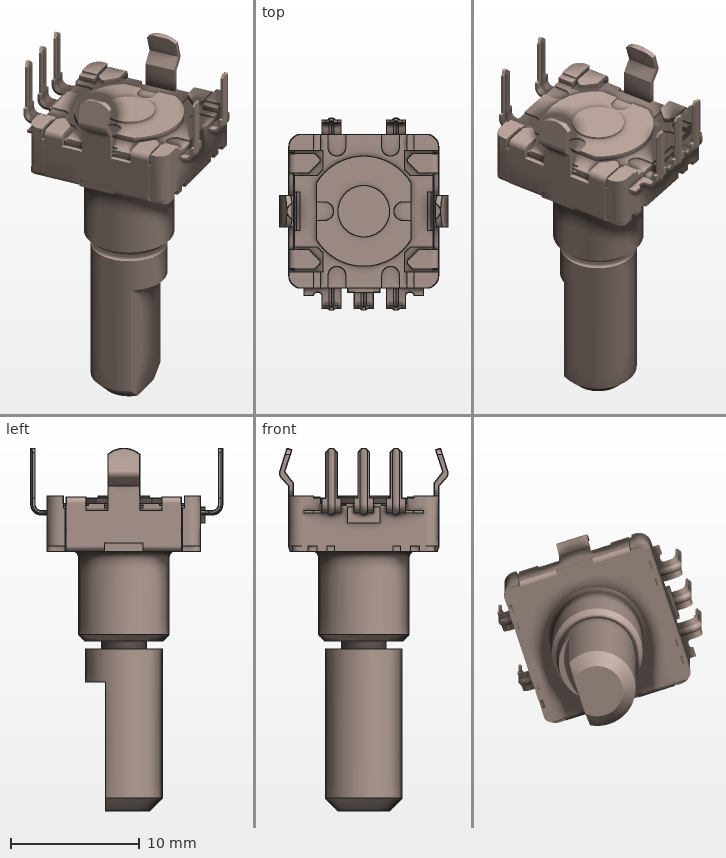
import cadquery as cq
import math


OVERALL_HEIGHT = 28.2
OVERALL_WIDTH = 13.1
PIN_TOP = 8.05
SHAFT_BOTTOM = PIN_TOP - OVERALL_HEIGHT
EXTRA = 1.4

HALF_X = 5.85
HALF_Y = 5.98
CORNER_RADIUS = 1.0
CORNER_TOP = 4.35
STEP_TOP = 4.17
PLATE_TOP = 3.75
CORNER_INNER_X = 3.35
CORNER_STEP_X = 3.9
CORNER_INNER_Y = 4.7
BASE_HEIGHT = 0.42
BASE_INSET = 0.3
BASE_CORNER_RADIUS = 0.54
NOTCH_PLACES = ((3.98, 0.7), (2.57, 0.62))
NOTCH_DEPTH = 0.37

DISC_RADIUS = 4.3
DISC_HALF_WIDTH = 3.7
DISC_TOP = STEP_TOP
BUTTON_RADIUS = 2.0
BUTTON_TOP = CORNER_TOP
SLOT_DEPTH = 0.17
RECESS_FLOOR = PLATE_TOP - SLOT_DEPTH
EDGE_SLOT_X = 2.1
EDGE_SLOT_WIDTH = 1.38
EDGE_SLOT_INNER_Y = 4.3
DISC_SLOT_WIDTH = 1.45
DISC_SLOT_INNER_X = 2.35

SHEET = 0.37
COVER_HALF_Y = 4.48
COVER_GAP = 0.08
GAP_FLOOR = 1.7
COVER_BOTTOM_RADIUS = BASE_HEIGHT
TAB_TOP = 4.25
TAB_INNER_Y = 2.95
TAB_BEND_RADIUS = 0.5
TAB_TIP_X = 3.4
TAB_LONG_BEVEL = 0.87
TAB_SHORT_BEVEL = 0.4
TAB_RECESS_X = 3.2
TAB_RECESS_Y = 2.75
TAB_RECESS_BEVEL = 0.45
WINDOW_FLOOR = 3.2
CLIP_HALF_WIDTH = 1.25
CLIP_POCKET_HALF = 1.5
CLIP_POCKET_INNER_X = 4.95
CLIP_GUTTER_INNER_X = 5.22
GUTTER_FLOOR = 3.4
RELIEF_HEIGHT = 0.68
RELIEF_DEPTH = 0.1

CLIP_REACH = OVERALL_WIDTH / 2
CLIP_BEND_OUTER_Z = 5.1
CLIP_BEND_INNER_Z = 5.33
CLIP_KINK_START = (6.4, 5.72)
CLIP_KINK_Z = 6.1
CLIP_KINK_END = (6.51, 6.3)
CLIP_KINK_INNER = (6.15, 6.2)
CLIP_TIP_OUTER = (5.98, PIN_TOP)
CLIP_TIP_INNER = (5.58, 7.92)
CLIP_SHOULDER_Z = 7.55

BUSHING_RADIUS = 3.52
BUSHING_FLARE_RADIUS = 3.78
BUSHING_FLARE_HEIGHT = 0.48
BUSHING_FLARE_ARC = 0.55
BUSHING_BOTTOM = -6.97
BUSHING_CHAMFER = 0.5
NECK_RADIUS = 1.75
SHAFT_TOP = -7.55
SHAFT_RADIUS = 3.0
SHAFT_CHAMFER = 1.0
FLAT_TOP = -10.15
FLAT_Y = 1.45

PITCH = 2.5
FRONT_REACH = 7.7
BACK_REACH = 7.25
TERMINAL_SHEET = 0.2
RIDGE_HEIGHT = 0.15
RIDGE_HALF_WIDTH = 0.28
GROOVE_HALF_WIDTH = 0.2
FOOT_WIDTH = 1.5
FOOT_TOP = 3.2
SHOULDER_TOP = 4.17
PIN_WIDTH = 0.9
PIN_TIP_CHAMFER = 0.3
TERMINAL_BEND_RADIUS = 0.7
FOOT_ROOT_Y = 5.65
FRAME_OUTER_X = 4.65
FRAME_EAR_X = 3.92
FRAME_EAR_REACH = 6.57
FRAME_NECK_REACH = 6.32
FRAME_GAP_RADIUS = 0.25
BLOCK_WIDTH = 2.5
BLOCK_REACH = 6.32
BLOCK_BOTTOM = 2.23
BLOCK_TOP = 3.47


def box(x0, x1, y0, y1, z0, z1):
    """Box between two opposite corners."""
    return cq.Workplane("XY").box(x1 - x0, y1 - y0, z1 - z0, centered=False).translate((x0, y0, z0))


def prism(points, z0, z1):
    """Upright prism on a closed polygon."""
    return cq.Workplane("XY").workplane(offset=z0).polyline(points).close().extrude(z1 - z0)


def both_sides(body, plane):
    """The body together with its mirror image."""
    return body.union(body.mirror(plane))


def four_corners(body):
    """The body repeated in all four quarters."""
    return both_sides(both_sides(body, "YZ"), "XZ")


def u_slot(end_x, mouth_x, width, surface):
    """Slot sunk below a surface height, along X with a round end at end_x and an open mouth at mouth_x."""
    radius = width / 2
    floor = surface - SLOT_DEPTH
    slot = box(end_x + radius, mouth_x, -radius, radius, floor, surface)
    end = cq.Workplane("XY").workplane(offset=floor).circle(radius).extrude(SLOT_DEPTH)
    return slot.union(end.translate((end_x + radius, 0, 0)))


def housing():
    body = box(-HALF_X, HALF_X, -HALF_Y, HALF_Y, BASE_HEIGHT, CORNER_TOP)
    body = body.edges("|Z").fillet(CORNER_RADIUS)
    base = box(-HALF_X + BASE_INSET, HALF_X - BASE_INSET, -HALF_Y, HALF_Y, 0, BASE_HEIGHT)
    body = body.union(base.edges("|Z").fillet(BASE_CORNER_RADIUS))

    open_top = CORNER_TOP + EXTRA
    inner_x = HALF_X - SHEET
    gap_x = inner_x - COVER_GAP
    body = body.cut(box(-CORNER_INNER_X, CORNER_INNER_X, -HALF_Y, HALF_Y, PLATE_TOP, open_top))
    body = body.cut(box(-CORNER_STEP_X, CORNER_STEP_X, -HALF_Y, HALF_Y, STEP_TOP, open_top))
    body = body.cut(box(-HALF_X, HALF_X, -CORNER_INNER_Y, CORNER_INNER_Y, PLATE_TOP, open_top))

    side_y = COVER_HALF_Y + COVER_GAP
    recess = box(inner_x, HALF_X, -side_y, side_y, 0, open_top)
    recess = recess.union(box(gap_x, HALF_X, -side_y, side_y, GAP_FLOOR, open_top))
    recess = recess.union(box(gap_x, HALF_X, -CORNER_INNER_Y, CORNER_INNER_Y, GUTTER_FLOOR, open_top))
    for pocket_x, floor in ((CLIP_POCKET_INNER_X, RECESS_FLOOR), (CLIP_GUTTER_INNER_X, GUTTER_FLOOR)):
        recess = recess.union(box(pocket_x, HALF_X, -CLIP_POCKET_HALF, CLIP_POCKET_HALF, floor, open_top))
    body = body.cut(both_sides(recess, "YZ"))

    tab_recess = [
        (HALF_X, TAB_RECESS_Y), (TAB_RECESS_X + TAB_RECESS_BEVEL, TAB_RECESS_Y),
        (TAB_RECESS_X, TAB_RECESS_Y + TAB_RECESS_BEVEL), (TAB_RECESS_X, CORNER_INNER_Y),
        (HALF_X, CORNER_INNER_Y),
    ]
    body = body.cut(four_corners(prism(tab_recess, RECESS_FLOOR, open_top)))

    disc = cq.Workplane("XY").circle(DISC_RADIUS).extrude(DISC_TOP)
    disc = disc.intersect(box(-DISC_HALF_WIDTH, DISC_HALF_WIDTH, -HALF_Y, HALF_Y, BASE_HEIGHT, DISC_TOP))
    body = body.union(disc)
    body = body.union(cq.Workplane("XY").circle(BUTTON_RADIUS).extrude(BUTTON_TOP))

    body = body.cut(both_sides(u_slot(DISC_SLOT_INNER_X, DISC_HALF_WIDTH, DISC_SLOT_WIDTH, DISC_TOP), "YZ"))
    edge_slot = u_slot(EDGE_SLOT_INNER_Y, HALF_Y, EDGE_SLOT_WIDTH, PLATE_TOP).rotate((0, 0, 0), (0, 0, 1), 90)
    body = body.cut(four_corners(edge_slot.translate((EDGE_SLOT_X, 0, 0))))

    for place, width in NOTCH_PLACES:
        notch = box(place - width / 2, place + width / 2, HALF_Y - NOTCH_DEPTH, HALF_Y, 0, BASE_HEIGHT)
        body = body.cut(four_corners(notch))

    block = box(-BLOCK_WIDTH / 2, BLOCK_WIDTH / 2, -BLOCK_REACH, -HALF_Y, BLOCK_BOTTOM, BLOCK_TOP)
    return body.union(block)


def cover_side():
    """Cover wall on the +X side with its two folded tabs."""
    inner_x = HALF_X - SHEET
    root_x = inner_x - SHEET
    wall = box(root_x, HALF_X, -COVER_HALF_Y, COVER_HALF_Y, 0, GAP_FLOOR)
    wall = wall.edges("|Y and >X and <Z").fillet(COVER_BOTTOM_RADIUS)
    wall = wall.union(box(inner_x, HALF_X, -COVER_HALF_Y, COVER_HALF_Y, GAP_FLOOR, WINDOW_FLOOR))

    relief = box(HALF_X - RELIEF_DEPTH, HALF_X, -CLIP_POCKET_HALF, CLIP_POCKET_HALF, 0, RELIEF_HEIGHT)
    flat = box(inner_x, HALF_X - RELIEF_DEPTH, -CLIP_POCKET_HALF, CLIP_POCKET_HALF, 0, RELIEF_HEIGHT)
    wall = wall.cut(relief).union(flat)

    tab_outline = [
        (HALF_X, TAB_INNER_Y), (TAB_TIP_X + TAB_LONG_BEVEL, TAB_INNER_Y),
        (TAB_TIP_X, TAB_INNER_Y + TAB_LONG_BEVEL), (TAB_TIP_X, COVER_HALF_Y - TAB_SHORT_BEVEL),
        (TAB_TIP_X + TAB_SHORT_BEVEL, COVER_HALF_Y), (HALF_X, COVER_HALF_Y),
    ]
    fold = (
        cq.Workplane("XZ")
        .moveTo(HALF_X, WINDOW_FLOOR)
        .lineTo(HALF_X, TAB_TOP - TAB_BEND_RADIUS)
        .radiusArc((HALF_X - TAB_BEND_RADIUS, TAB_TOP), -TAB_BEND_RADIUS)
        .lineTo(0, TAB_TOP)
        .lineTo(0, TAB_TOP - SHEET)
        .lineTo(HALF_X - TAB_BEND_RADIUS, TAB_TOP - SHEET)
        .radiusArc((inner_x, TAB_TOP - TAB_BEND_RADIUS), TAB_BEND_RADIUS - SHEET)
        .lineTo(inner_x, WINDOW_FLOOR)
        .close()
        .extrude(-HALF_Y)
    )
    tab = fold.intersect(prism(tab_outline, 0, PIN_TOP))
    return wall.union(both_sides(tab, "XZ"))


def clip():
    """Bent snap-in clip on the +X side with an arched tip."""
    inner_x = HALF_X - SHEET
    strip = (
        cq.Workplane("XZ")
        .moveTo(HALF_X, WINDOW_FLOOR)
        .lineTo(HALF_X, CLIP_BEND_OUTER_Z)
        .lineTo(*CLIP_KINK_START)
        .threePointArc((CLIP_REACH, CLIP_KINK_Z), CLIP_KINK_END)
        .lineTo(*CLIP_TIP_OUTER)
        .lineTo(*CLIP_TIP_INNER)
        .lineTo(*CLIP_KINK_INNER)
        .lineTo(inner_x, CLIP_BEND_INNER_Z)
        .lineTo(inner_x, WINDOW_FLOOR)
        .close()
        .extrude(CLIP_HALF_WIDTH, both=True)
    )
    arch = (
        cq.Workplane("YZ")
        .moveTo(-CLIP_HALF_WIDTH, 0)
        .lineTo(-CLIP_HALF_WIDTH, CLIP_SHOULDER_Z)
        .threePointArc((0, PIN_TOP), (CLIP_HALF_WIDTH, CLIP_SHOULDER_Z))
        .lineTo(CLIP_HALF_WIDTH, 0)
        .close()
        .extrude(CLIP_REACH + EXTRA)
    )
    return strip.intersect(arch)


def bushing_and_shaft():
    """Turned body below the housing, with a flat along the lower shaft."""
    turned = (
        cq.Workplane("XZ")
        .moveTo(0, BASE_HEIGHT)
        .lineTo(BUSHING_FLARE_RADIUS, BASE_HEIGHT)
        .lineTo(BUSHING_FLARE_RADIUS, 0)
        .radiusArc((BUSHING_RADIUS, -BUSHING_FLARE_HEIGHT), -BUSHING_FLARE_ARC)
        .lineTo(BUSHING_RADIUS, BUSHING_BOTTOM + BUSHING_CHAMFER)
        .lineTo(BUSHING_RADIUS - BUSHING_CHAMFER, BUSHING_BOTTOM)
        .lineTo(NECK_RADIUS, BUSHING_BOTTOM)
        .lineTo(NECK_RADIUS, SHAFT_TOP)
        .lineTo(SHAFT_RADIUS, SHAFT_TOP)
        .lineTo(SHAFT_RADIUS, SHAFT_BOTTOM + SHAFT_CHAMFER)
        .lineTo(SHAFT_RADIUS - SHAFT_CHAMFER, SHAFT_BOTTOM)
        .lineTo(0, SHAFT_BOTTOM)
        .close()
        .revolve(360, (0, 0, 0), (0, 1, 0))
    )
    return turned.cut(box(-SHAFT_RADIUS, SHAFT_RADIUS, FLAT_Y, SHAFT_RADIUS, SHAFT_BOTTOM, FLAT_TOP))


def terminal(reach):
    """Terminal leaving the +Y face at X = 0 and bending up, with an outer ridge and an inner groove."""
    outer_y = reach - RIDGE_HEIGHT
    bottom = FOOT_TOP - TERMINAL_SHEET
    bend_y = outer_y - TERMINAL_BEND_RADIUS
    bend_z = bottom + TERMINAL_BEND_RADIUS
    diagonal = TERMINAL_BEND_RADIUS * math.sqrt(0.5)
    path = (
        cq.Workplane("YZ")
        .moveTo(FOOT_ROOT_Y, bottom)
        .lineTo(bend_y, bottom)
        .threePointArc((bend_y + diagonal, bend_z - diagonal), (outer_y, bend_z))
        .lineTo(outer_y, PIN_TOP)
    )
    half = FOOT_WIDTH / 2
    start = cq.Plane(origin=(0, FOOT_ROOT_Y, bottom), xDir=(1, 0, 0), normal=(0, -1, 0))
    section = (
        cq.Workplane(start)
        .moveTo(-half, 0)
        .lineTo(-RIDGE_HALF_WIDTH, 0)
        .threePointArc((0, -RIDGE_HEIGHT), (RIDGE_HALF_WIDTH, 0))
        .lineTo(half, 0)
        .lineTo(half, TERMINAL_SHEET)
        .lineTo(GROOVE_HALF_WIDTH, TERMINAL_SHEET)
        .lineTo(0, TERMINAL_SHEET - RIDGE_HEIGHT)
        .lineTo(-GROOVE_HALF_WIDTH, TERMINAL_SHEET)
        .lineTo(-half, TERMINAL_SHEET)
        .close()
    )
    strip = section.sweep(path)

    half_pin = PIN_WIDTH / 2
    outline = [
        (-half, 0), (half, 0), (half, SHOULDER_TOP), (half_pin, SHOULDER_TOP),
        (half_pin, PIN_TOP - PIN_TIP_CHAMFER), (half_pin - PIN_TIP_CHAMFER, PIN_TOP),
        (PIN_TIP_CHAMFER - half_pin, PIN_TOP), (-half_pin, PIN_TOP - PIN_TIP_CHAMFER),
        (-half_pin, SHOULDER_TOP), (-half, SHOULDER_TOP),
    ]
    return strip.intersect(cq.Workplane("XZ").polyline(outline).close().extrude(-reach - EXTRA))


def terminals():
    """Three front terminals, two back ones, and the front lead-frame ears."""
    back = terminal(BACK_REACH)
    front = terminal(FRONT_REACH).mirror("XZ")
    foot_edge = PITCH + FOOT_WIDTH / 2
    bottom = FOOT_TOP - TERMINAL_SHEET
    ear = box(foot_edge, FRAME_OUTER_X, -FRAME_EAR_REACH, -FOOT_ROOT_Y, bottom, FOOT_TOP)
    gap = box(foot_edge, FRAME_EAR_X, -FRAME_EAR_REACH - EXTRA, -FRAME_NECK_REACH, bottom, FOOT_TOP)
    ear = ear.cut(gap.edges("|Z and >Y").fillet(FRAME_GAP_RADIUS))
    group = both_sides(ear, "YZ").union(front)
    for x in (-PITCH, PITCH):
        group = group.union(back.translate((x, 0, 0))).union(front.translate((x, 0, 0)))
    return group


result = housing()
result = result.union(both_sides(cover_side().union(clip()), "YZ"))
result = result.union(bushing_and_shaft())
result = result.union(terminals())